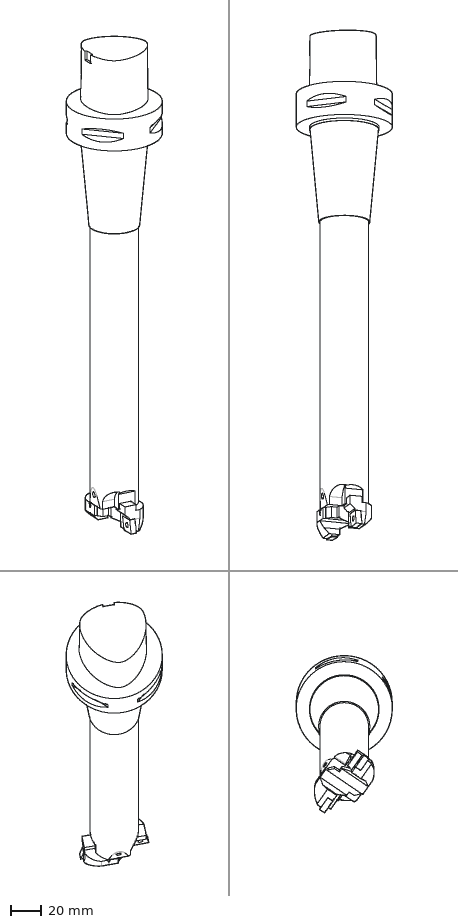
import cadquery as cq
import math

TOTAL_LENGTH = 336.0

SHANK_BASE_Z = 298.0
SHANK_BASE_RADIUS = 22.0
SHANK_TOP_RADIUS = 21.8
LOBE_HEIGHT = 1.7
LOBES = 3
POINTS_PER_LOBE = 8
KEYWAY_WIDTH = 7.7
KEYWAY_HEIGHT = 6.0
KEYWAY_DEPTH = 1.7

FLANGE_DIAMETER = 63.0
FLANGE_BASE_Z = 275.5
GROOVE_Z = 285.8
GROOVE_CHORD_DISTANCE = 28.2
GROOVE_FLOOR_HEIGHT = 3.7
GROOVE_MOUTH_HEIGHT = 9.0
GROOVE_COUNT = 4

COLLAR_RADIUS = 23.0
COLLAR_BASE_Z = 273.7
TAPER_TOP_RADIUS = 22.5
TAPER_END_RADIUS = 16.8
TAPER_BASE_Z = 211.0
BAR_DIAMETER = 32.0
BAR_BASE_Z = 15.5

SEAT_X = 13.8
SEAT_TOP_Z = 28.2
SEAT_BACK_Y = 7.7
GULLET_INNER_X = 8.5
GULLET_BEND_Z = 20.8
GULLET_ARC_POINT = (10.5, 25.2)
GULLET_Y = 4.7
COOLANT_FLAT_DEPTH = 1.5
COOLANT_FLAT_TOP_Z = 28.2
COOLANT_HOLE_DIAMETER = 3.2
COOLANT_HOLE_Z = 22.5
COOLANT_HOLE_DEPTH = 6.7
COOLANT_HOLE_TILT = 40.0

SLIDE_HALF_WIDTH = 14.8
SLIDE_BASE_Z = 0.7
SLIDE_OUTER_BASE_X = 21.5
SLIDE_OUTER_TOP_X = 20.8
SLIDE_SHOULDER_X = 11.5
SLIDE_FLANK_TOP_Z = 9.5
SLIDE_BACK_BULGE = (17.8, 11.5)
SLIDE_BACK_END_Y = 6.0
CHIP_RAMP_X = 6.7
CHIP_STEP_X = 3.7
CHIP_STEP_Y = -6.5
CHIP_BEVEL_Y = -10.5
CHIP_NOSE_X = 0.7
CHIP_NOSE_Y = -13.0
BRIDGE_BASE_Z = 8.0
BRIDGE_HALF_LENGTH = 6.5
ARCH_HALF_WIDTH = 9.0
ARCH_SPRING_Z = 4.5
BOTTOM_HALF_WIDTH = 7.0
POST_TOP_Z = 19.5
POST_FRONT_Y = -3.7
POST_BACK_Y = 4.7
POST_SLOPE_TOP_Z = 13.8
POST_SLOPE_BASE_Z = 10.7
RAKE_Y = -0.5
POINTER_X = 6.5
POINTER_WIDTH = 2.5
POINTER_HEIGHT = 3.7
POINTER_DEPTH = 0.7

INSERT_TIP_X = 23.2
INSERT_INSCRIBED_DIAMETER = 9.5
INSERT_CORNER_ANGLE = 80.0
INSERT_EDGE_TILT = 12.0
INSERT_THICKNESS = 4.0
INSERT_HOLE_DIAMETER = 3.2

BAR_RADIUS = BAR_DIAMETER / 2
FLANGE_RADIUS = FLANGE_DIAMETER / 2
REACH = FLANGE_DIAMETER


def opposite(shape):
    """Copy of a shape turned half a turn about the tool axis."""
    return shape.rotate((0, 0, 0), (0, 0, 1), 180)


def box(x_range, y_range, z_range):
    """Axis-aligned block between the given limits."""
    spans = [high - low for low, high in (x_range, y_range, z_range)]
    return cq.Workplane("XY").box(*spans, centered=False).translate((x_range[0], y_range[0], z_range[0]))


def lobed_outline(mean_radius):
    """Constant-width curve with one lobe pointing along +Y."""
    count = LOBES * POINTS_PER_LOBE
    points = []
    for step in range(count):
        angle = 2 * math.pi * step / count
        phase = LOBES * (angle - math.pi / 2)
        support = mean_radius + LOBE_HEIGHT * math.cos(phase)
        slope = -LOBES * LOBE_HEIGHT * math.sin(phase)
        x = support * math.cos(angle) - slope * math.sin(angle)
        y = support * math.sin(angle) + slope * math.cos(angle)
        points.append((x, y))
    return points


def make_shank():
    shank = (
        cq.Workplane("XY", origin=(0, 0, SHANK_BASE_Z))
        .spline(lobed_outline(SHANK_BASE_RADIUS), periodic=True).close()
        .workplane(offset=TOTAL_LENGTH - SHANK_BASE_Z)
        .spline(lobed_outline(SHANK_TOP_RADIUS), periodic=True).close()
        .loft(ruled=True)
    )
    keyway_floor_y = -(SHANK_TOP_RADIUS - LOBE_HEIGHT - KEYWAY_DEPTH)
    keyway = box(
        (-KEYWAY_WIDTH / 2, KEYWAY_WIDTH / 2),
        (-REACH, keyway_floor_y),
        (TOTAL_LENGTH - KEYWAY_HEIGHT, TOTAL_LENGTH),
    )
    return shank.cut(keyway)


def make_turned_body():
    """Flange, collar, taper and bar as one revolved profile."""
    return (
        cq.Workplane("XZ")
        .moveTo(0, BAR_BASE_Z)
        .lineTo(BAR_RADIUS, BAR_BASE_Z)
        .lineTo(BAR_RADIUS, TAPER_BASE_Z)
        .lineTo(TAPER_END_RADIUS, TAPER_BASE_Z)
        .lineTo(TAPER_TOP_RADIUS, COLLAR_BASE_Z)
        .lineTo(COLLAR_RADIUS, COLLAR_BASE_Z)
        .lineTo(COLLAR_RADIUS, FLANGE_BASE_Z)
        .lineTo(FLANGE_RADIUS, FLANGE_BASE_Z)
        .lineTo(FLANGE_RADIUS, SHANK_BASE_Z)
        .lineTo(0, SHANK_BASE_Z)
        .close()
        .revolve(360, (0, 0, 0), (0, 1, 0))
    )


def make_gripper_groove():
    """Straight flat-bottomed V groove, square to the +X direction."""
    rim = FLANGE_RADIUS
    return (
        cq.Workplane("XZ")
        .moveTo(GROOVE_CHORD_DISTANCE, GROOVE_Z - GROOVE_FLOOR_HEIGHT / 2)
        .lineTo(rim, GROOVE_Z - GROOVE_MOUTH_HEIGHT / 2)
        .lineTo(rim, GROOVE_Z + GROOVE_MOUTH_HEIGHT / 2)
        .lineTo(GROOVE_CHORD_DISTANCE, GROOVE_Z + GROOVE_FLOOR_HEIGHT / 2)
        .close()
        .extrude(FLANGE_RADIUS, both=True)
    )


def make_seat_cut():
    """Flat on the +X side of the bar, with a sloping top edge."""
    seat_rise = BAR_RADIUS - SEAT_X
    return (
        cq.Workplane("XZ", origin=(0, SEAT_BACK_Y, 0))
        .moveTo(SEAT_X, 0)
        .lineTo(SEAT_X, SEAT_TOP_Z - seat_rise)
        .lineTo(BAR_RADIUS, SEAT_TOP_Z)
        .lineTo(BAR_RADIUS, 0)
        .close()
        .extrude(SEAT_BACK_Y + BAR_RADIUS)
    )


def make_gullet_cut():
    """Chip gullet in front of the +X seat, curving out to the bar surface."""
    return (
        cq.Workplane("XZ", origin=(0, -GULLET_Y, 0))
        .moveTo(GULLET_INNER_X, 0)
        .lineTo(GULLET_INNER_X, GULLET_BEND_Z)
        .threePointArc(GULLET_ARC_POINT, (SEAT_X, SEAT_TOP_Z))
        .lineTo(BAR_RADIUS, SEAT_TOP_Z)
        .lineTo(BAR_RADIUS, 0)
        .close()
        .extrude(BAR_RADIUS)
    )


def make_coolant_cut():
    """Inclined flat on the -Y side and the coolant hole that opens in it."""
    flat = (
        cq.Workplane("YZ")
        .moveTo(-BAR_RADIUS, COOLANT_FLAT_TOP_Z)
        .lineTo(-BAR_RADIUS + COOLANT_FLAT_DEPTH, BAR_BASE_Z)
        .lineTo(-BAR_RADIUS, BAR_BASE_Z)
        .close()
        .extrude(BAR_RADIUS, both=True)
    )
    tilt = math.radians(COOLANT_HOLE_TILT)
    direction = cq.Vector(0, math.cos(tilt), math.sin(tilt))
    mouth = cq.Vector(0, -BAR_RADIUS, COOLANT_HOLE_Z)
    start = mouth - direction * COOLANT_HOLE_DIAMETER
    length = COOLANT_HOLE_DEPTH + COOLANT_HOLE_DIAMETER
    hole = cq.Solid.makeCylinder(COOLANT_HOLE_DIAMETER / 2, length, start, direction)
    return flat.union(cq.Workplane(hole))


def make_holder():
    holder = make_turned_body().union(make_shank())
    groove = make_gripper_groove()
    groove_pitch = 360 / GROOVE_COUNT
    for index in range(GROOVE_COUNT):
        holder = holder.cut(groove.rotate((0, 0, 0), (0, 0, 1), (index + 0.5) * groove_pitch))
    for end_cut in (make_seat_cut(), make_gullet_cut(), make_coolant_cut()):
        holder = holder.cut(end_cut).cut(opposite(end_cut))
    return holder


def make_insert(with_hole=True):
    """Rhombic plate: cutting corner at the lower outer end, inner corner at z = 0."""
    side = INSERT_INSCRIBED_DIAMETER / math.sin(math.radians(INSERT_CORNER_ANGLE))
    outer_angle = math.radians(90 + INSERT_EDGE_TILT)
    lower_angle = outer_angle + math.radians(INSERT_CORNER_ANGLE)
    outer_edge = (side * math.cos(outer_angle), side * math.sin(outer_angle))
    lower_edge = (side * math.cos(lower_angle), side * math.sin(lower_angle))
    far_corner = (outer_edge[0] + lower_edge[0], outer_edge[1] + lower_edge[1])
    tip_plane = cq.Workplane("XZ", origin=(INSERT_TIP_X, RAKE_Y, -lower_edge[1]))
    corners = [(0, 0), outer_edge, far_corner, lower_edge]
    plate = tip_plane.polyline(corners).close().extrude(-INSERT_THICKNESS)
    if not with_hole:
        return plate
    hole = (
        tip_plane.center(far_corner[0] / 2, far_corner[1] / 2)
        .circle(INSERT_HOLE_DIAMETER / 2)
        .extrude(-INSERT_THICKNESS)
    )
    return plate.cut(hole)


def make_slide_block():
    """Block under the bar: stepped towards the chip space, rounded at the back."""
    chip_side = [
        (CHIP_RAMP_X, CHIP_STEP_Y),
        (CHIP_STEP_X, CHIP_STEP_Y),
        (CHIP_STEP_X, CHIP_BEVEL_Y),
        (CHIP_NOSE_X, CHIP_NOSE_Y),
        (0, CHIP_NOSE_Y),
    ]
    block = (
        cq.Workplane("XY", origin=(0, 0, SLIDE_BASE_Z))
        .moveTo(0, SLIDE_HALF_WIDTH)
        .lineTo(SLIDE_SHOULDER_X, SLIDE_HALF_WIDTH)
        .threePointArc(SLIDE_BACK_BULGE, (SLIDE_OUTER_BASE_X, SLIDE_BACK_END_Y))
        .lineTo(SLIDE_OUTER_BASE_X, RAKE_Y)
        .lineTo(ARCH_HALF_WIDTH, RAKE_Y)
        .polyline(chip_side, includeCurrent=True)
        .close()
        .extrude(BAR_BASE_Z - SLIDE_BASE_Z)
    )
    end_profile = (
        cq.Workplane("YZ")
        .moveTo(-BOTTOM_HALF_WIDTH, SLIDE_BASE_Z)
        .lineTo(BOTTOM_HALF_WIDTH, SLIDE_BASE_Z)
        .lineTo(SLIDE_HALF_WIDTH, BRIDGE_BASE_Z)
        .lineTo(SLIDE_HALF_WIDTH, BAR_BASE_Z)
        .lineTo(-SLIDE_HALF_WIDTH, BAR_BASE_Z)
        .lineTo(-SLIDE_HALF_WIDTH, BRIDGE_BASE_Z)
        .close()
        .extrude(REACH)
    )
    return block.intersect(end_profile)


def make_slide_post():
    """Upright beside the seat, its front sloping back to the rake plane, with a foot under the bar."""
    post = (
        cq.Workplane("YZ", origin=(ARCH_HALF_WIDTH, 0, 0))
        .moveTo(POST_BACK_Y, SLIDE_BASE_Z)
        .lineTo(POST_BACK_Y, POST_TOP_Z)
        .lineTo(POST_FRONT_Y, POST_TOP_Z)
        .lineTo(POST_FRONT_Y, POST_SLOPE_TOP_Z)
        .lineTo(RAKE_Y, POST_SLOPE_BASE_Z)
        .lineTo(RAKE_Y, SLIDE_BASE_Z)
        .close()
        .extrude(SLIDE_OUTER_BASE_X - ARCH_HALF_WIDTH)
    )
    bar_space = box((0, SEAT_X), (-REACH, REACH), (BAR_BASE_Z, TOTAL_LENGTH))
    return post.cut(bar_space)


def make_side_profile():
    """Elevation of the slide: arch clearance inside, sloping flank outside."""
    return (
        cq.Workplane("XZ")
        .moveTo(0, BRIDGE_BASE_Z)
        .lineTo(BRIDGE_HALF_LENGTH, BRIDGE_BASE_Z)
        .lineTo(ARCH_HALF_WIDTH, ARCH_SPRING_Z)
        .lineTo(ARCH_HALF_WIDTH, SLIDE_BASE_Z)
        .lineTo(SLIDE_OUTER_BASE_X, SLIDE_BASE_Z)
        .lineTo(SLIDE_OUTER_TOP_X, SLIDE_FLANK_TOP_Z)
        .lineTo(SLIDE_OUTER_TOP_X, POST_TOP_Z)
        .lineTo(0, POST_TOP_Z)
        .close()
        .extrude(REACH, both=True)
    )


def make_pointer_mark():
    """Shallow triangular index mark on the back face."""
    return (
        cq.Workplane("XZ", origin=(POINTER_X, SLIDE_HALF_WIDTH, 0))
        .moveTo(-POINTER_WIDTH / 2, BAR_BASE_Z)
        .lineTo(POINTER_WIDTH / 2, BAR_BASE_Z)
        .lineTo(0, BAR_BASE_Z - POINTER_HEIGHT)
        .close()
        .extrude(POINTER_DEPTH)
    )


def make_slide():
    slide = make_slide_block().union(make_slide_post()).intersect(make_side_profile())
    return slide.cut(make_pointer_mark()).cut(make_insert(with_hole=False))


holder = make_holder().solids()
slide = make_slide().solids()
insert = make_insert().solids()
slides = []
inserts = []
for turn in (0, 180):
    slides.append(slide.rotate((0, 0, 0), (0, 0, 1), turn).val())
    inserts.append(insert.rotate((0, 0, 0), (0, 0, 1), turn).val())

result = cq.Compound.makeCompound([holder.val(), *slides, *inserts])